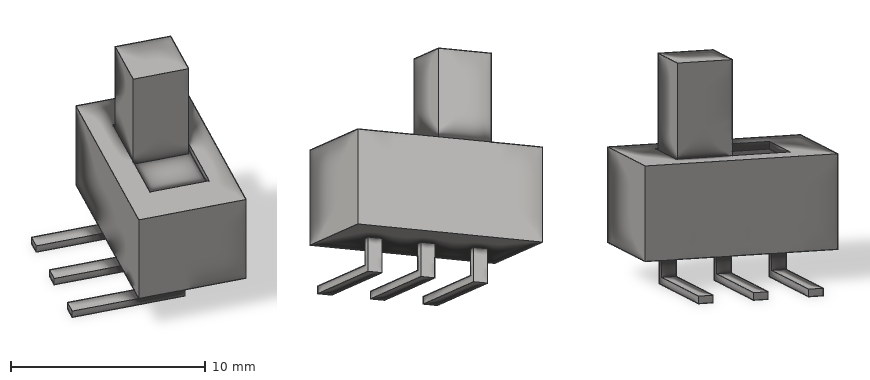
import cadquery as cq

housing_length = 10.5
housing_width = 5.8
housing_height = 5.0

slider_size = 3.0
slider_rise = 5.0
slider_travel = 3.0

slot_clearance = 0.1
slot_depth = 0.4
slot_length = slider_size + slider_travel + 2 * slot_clearance
slot_width = slider_size + 2 * slot_clearance
slot_floor = housing_height - slot_depth

terminal_count = 3
terminal_pitch = 3.0
terminal_width = 0.8
terminal_thickness = 0.4
terminal_drop = 1.8
terminal_reach = 3.0


def make_housing():
    block = cq.Workplane("XY").box(
        housing_length, housing_width, housing_height, centered=(True, True, False)
    )
    slot = (
        cq.Workplane("XY")
        .workplane(offset=slot_floor)
        .rect(slot_length, slot_width)
        .extrude(slot_depth)
    )
    return block.cut(slot)


def make_slider():
    """Post that rests on the slot floor."""
    return (
        cq.Workplane("XY")
        .workplane(offset=slot_floor)
        .center(-slider_travel / 2, 0)
        .rect(slider_size, slider_size)
        .extrude(slot_depth + slider_rise)
    )


def make_terminal(x_center):
    """L-shaped strip: a leg down from the underside, then a foot along -Y."""
    back = terminal_thickness / 2
    front = -terminal_thickness / 2
    tip = -housing_width / 2 - terminal_reach
    foot_top = -terminal_drop + terminal_thickness
    return (
        cq.Workplane("YZ")
        .workplane(offset=x_center - terminal_width / 2)
        .moveTo(back, 0)
        .lineTo(back, -terminal_drop)
        .lineTo(tip, -terminal_drop)
        .lineTo(tip, foot_top)
        .lineTo(front, foot_top)
        .lineTo(front, 0)
        .close()
        .extrude(terminal_width)
    )


housing = make_housing()
slider = make_slider()
terminals = [
    make_terminal((index - (terminal_count - 1) / 2) * terminal_pitch)
    for index in range(terminal_count)
]

result = cq.Compound.makeCompound(
    [housing.val(), slider.val(), *[terminal.val() for terminal in terminals]]
)